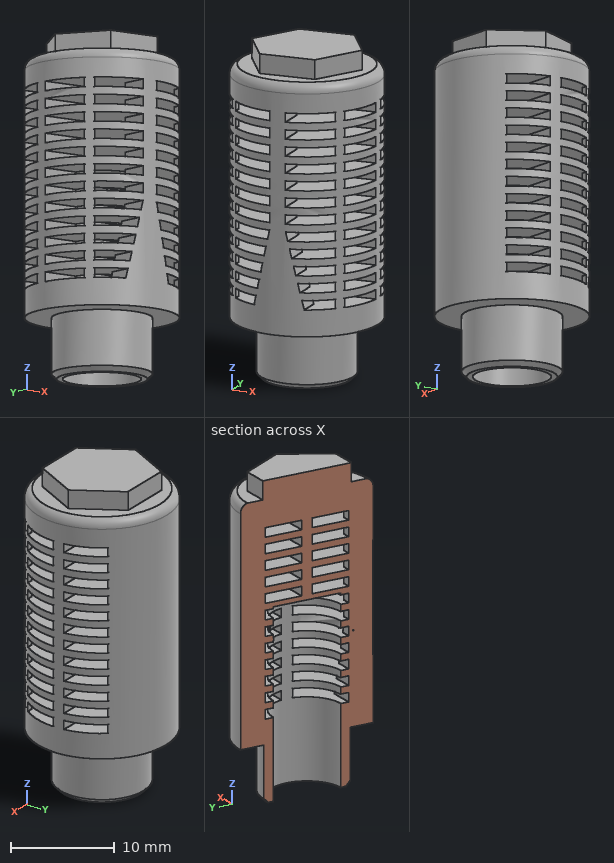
import cadquery as cq
import math

total_height = 33.23
stem_height = 5.98
head_height = 1.95
body_top = total_height - head_height

stem_radius = 4.9
stem_chamfer = 0.5
bore_radius = 3.8
bore_depth = 20.0

body_diameter = 15.0
body_radius = body_diameter / 2
top_round_radius = 1.0
top_round_drop = 0.95
top_face_radius = body_radius - top_round_radius + math.sqrt(top_round_radius**2 - top_round_drop**2)

head_across_flats = 10.0
head_across_corners = head_across_flats / math.cos(math.pi / 6)

row_count = 12
slot_height = 0.93
lowest_slot = 8.67
highest_slot = 27.38
row_pitch = (highest_slot - lowest_slot) / (row_count - 1)
slot_overrun = 1.5 * body_radius

center_rib_half = 0.63
side_slot_reach = 4.65
front_slot_reach = 5.2
front_post_half = 0.83
front_post_foot_half = 2.63
front_post_taper_top = 16.45


def make_body():
    stem = cq.Workplane("XY").circle(stem_radius).extrude(stem_height)
    stem = stem.faces("<Z").chamfer(stem_chamfer)
    body = (
        cq.Workplane("YZ")
        .moveTo(0, stem_height)
        .lineTo(body_radius, stem_height)
        .lineTo(body_radius, body_top - top_round_drop)
        .radiusArc((top_face_radius, body_top), -top_round_radius)
        .lineTo(0, body_top)
        .close()
        .revolve(360, (0, 0), (0, 1))
    )
    head = (
        cq.Workplane("XY")
        .workplane(offset=body_top)
        .polygon(6, head_across_corners)
        .extrude(head_height)
    )
    return stem.union(body).union(head)


def slot_box(x_range, y_range, z_bottom):
    """One slot-high box spanning the given X and Y ranges."""
    return (
        cq.Workplane("XY")
        .box(x_range[1] - x_range[0], y_range[1] - y_range[0], slot_height, centered=False)
        .translate((x_range[0], y_range[0], z_bottom))
    )


def make_front_post():
    """Post at the -Y side, flaring toward its foot and ending at the side slots."""
    right_side = [
        (front_post_foot_half, lowest_slot),
        (front_post_half, front_post_taper_top),
        (front_post_half, body_top),
    ]
    left_side = [(-x, z) for x, z in reversed(right_side)]
    return (
        cq.Workplane("XZ", origin=(0, -side_slot_reach, 0))
        .polyline(right_side + left_side)
        .close()
        .extrude(slot_overrun)
    )


def make_slot_row(z_bottom, front_post):
    """Side slots run right through along X; front slots open into the nearer one from -Y."""
    across = (-slot_overrun, slot_overrun)
    rear_slot = slot_box(across, (center_rib_half, side_slot_reach), z_bottom)
    near_slot = slot_box(across, (-side_slot_reach, -center_rib_half), z_bottom)
    front_slot = slot_box(
        (-front_slot_reach, front_slot_reach), (-slot_overrun, -center_rib_half), z_bottom
    )
    return front_slot.cut(front_post).union(near_slot).union(rear_slot)


def make_slots():
    front_post = make_front_post()
    slots = cq.Workplane("XY")
    for row in range(row_count):
        slots = slots.union(make_slot_row(lowest_slot + row * row_pitch, front_post))
    return slots


def make_bore():
    return cq.Workplane("XY").circle(bore_radius).extrude(bore_depth)


result = make_body().cut(make_bore()).cut(make_slots())